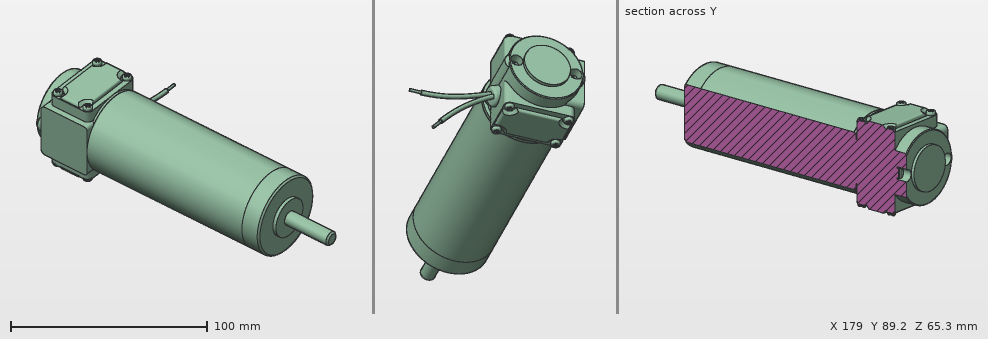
import cadquery as cq
import math


OVERALL_LENGTH = 179.0
SHAFT_LENGTH = 28.0
SHAFT_DIA = 8.0
SHAFT_CHAMFER = 1.0
PILOT_DIA = 22.0
PILOT_LENGTH = 2.0
GEAR_HEAD_DIA = 45.0
GEAR_HEAD_LENGTH = 11.0
GEAR_HEAD_CHAMFER = 1.0
BODY_DIA = 44.99
BODY_REAR = 36.8
FLANGE_DIA = 44.6
FLANGE_REAR = 35.3

pilot_front = OVERALL_LENGTH - SHAFT_LENGTH
gear_front = pilot_front - PILOT_LENGTH
gear_rear = gear_front - GEAR_HEAD_LENGTH

HOUSING_LENGTH = 25.5
HOUSING_WIDTH = 38.0
HOUSING_HEIGHT = 44.0
HOUSING_FILLET = 3.0
HOUSING_MID_X = 22.25

housing_rear = HOUSING_MID_X - HOUSING_LENGTH / 2

COVER_DIA = 40.2
COVER_REAR = 1.8
COVER_CHAMFER = 0.5
CAP_DIA = 25.0

BOSS_DIA = 11.0
BOSS_OFFSET = 16.25
BOLT_OFFSET = 16.0
BOSS_CHAMFER_LENGTH = 2.0
BOSS_CHAMFER_WIDTH = 1.7
BOLT_RECESS_DIA = 6.5
BOLT_RECESS_DEPTH = 6.5
BOLT_HEAD_DIA = 5.5
BOLT_HEAD_HEIGHT = 2.0
BOLT_SLOT_WIDTH = 1.0
BOLT_SLOT_DEPTH = 0.8

PLATE_REAR = 6.6
PLATE_HEIGHT = 31.0
PLATE_REAR_FILLET = 3.0
PLATE_FRONT_FILLET = 2.0
PLATE_INNER_Y = -10.0

LID_HEIGHT = 2.0
LID_LENGTH = 19.4
LID_WIDTH = 37.0
LID_SIDE_FILLET = 1.1
LID_END_FILLET = 1.9
LID_SCREW_DIA = 5.0
LID_SCREW_FILLET = 1.2
CROSS_LENGTH = 2.7
CROSS_WIDTH = 0.9
CROSS_DEPTH = 1.2
POCKET_DIA = 6.5
POCKET_WALL_ANGLE = 42.0

lid_base = HOUSING_HEIGHT / 2
lid_top = lid_base + LID_HEIGHT
lid_screw_x = HOUSING_LENGTH / 2 - HOUSING_FILLET
lid_screw_y = HOUSING_WIDTH / 2 - HOUSING_FILLET

GROMMET_X = 23.0
GROMMET_DIA = 11.0
GROMMET_ANGLE = 23.0
GROMMET_BASE_RADIUS = 15.0
GROMMET_TOP_RADIUS = 24.6
GROMMET_FILLET = 1.4
WIRE_DIA = 2.5
WIRE_CORE_DIA = 1.5

UPPER_WIRE_START = (21.8, 20.0, -7.6)
UPPER_WIRE_END = (22.1, 60.6, -18.3)
UPPER_WIRE_START_SLOPE = 22.0
UPPER_WIRE_END_SLOPE = 0.0
UPPER_CORE_LENGTH = 6.13

LOWER_WIRE_START = (20.8, 20.0, -9.9)
LOWER_WIRE_END = (20.3, 50.6, -35.95)
LOWER_WIRE_START_SLOPE = 28.0
LOWER_WIRE_END_SLOPE = 51.0
LOWER_CORE_LENGTH = 6.33


def x_cylinder(diameter, start, end, y=0.0):
    """Cylinder along X from start to end, its axis at the given Y and Z = 0."""
    return cq.Workplane("YZ", origin=(start, y, 0)).circle(diameter / 2).extrude(end - start)


def make_drive_train():
    """Motor body, gear head, pilot and output shaft."""
    gear_head = x_cylinder(GEAR_HEAD_DIA, gear_rear, gear_front).faces(">X").chamfer(GEAR_HEAD_CHAMFER)
    shaft = x_cylinder(SHAFT_DIA, gear_rear, OVERALL_LENGTH).faces(">X").chamfer(SHAFT_CHAMFER)
    return (
        x_cylinder(FLANGE_DIA, FLANGE_REAR, BODY_REAR)
        .union(x_cylinder(BODY_DIA, BODY_REAR, gear_rear))
        .union(gear_head)
        .union(x_cylinder(PILOT_DIA, gear_front, pilot_front))
        .union(shaft)
    )


def make_housing():
    """Brush housing block with rounded vertical edges, carried on to the motor flange."""
    block = (
        cq.Workplane("XY")
        .box(HOUSING_LENGTH, HOUSING_WIDTH, HOUSING_HEIGHT)
        .edges("|Z")
        .fillet(HOUSING_FILLET)
        .translate((HOUSING_MID_X, 0, 0))
    )
    return block.union(x_cylinder(COVER_DIA, housing_rear, FLANGE_REAR))


def make_rear_cover():
    """Round rear cover with the smaller end cap on it."""
    cover = x_cylinder(COVER_DIA, COVER_REAR, housing_rear).faces("<X").chamfer(COVER_CHAMFER)
    return cover.union(x_cylinder(CAP_DIA, 0, COVER_REAR))


def make_boss(y):
    """Through-bolt boss along the housing, tapered at its rear end."""
    return (
        x_cylinder(BOSS_DIA, COVER_REAR, FLANGE_REAR, y)
        .faces("<X")
        .chamfer(BOSS_CHAMFER_LENGTH, BOSS_CHAMFER_WIDTH)
    )


def make_bolt_head(y):
    """Slotted bolt head standing on the floor of its recess."""
    floor = COVER_REAR + BOLT_RECESS_DEPTH
    head_rear = floor - BOLT_HEAD_HEIGHT
    slot = cq.Workplane("XY").box(2 * BOLT_SLOT_DEPTH, BOLT_SLOT_WIDTH, BOLT_HEAD_DIA).translate((head_rear, y, 0))
    return x_cylinder(BOLT_HEAD_DIA, head_rear, floor, y).cut(slot)


def make_side_plate():
    """Thick rounded plate on the -Y side, flush with the motor body."""
    length = BODY_REAR - PLATE_REAR
    outer_y = -BODY_DIA / 2
    depth = PLATE_INNER_Y - outer_y
    return (
        cq.Workplane("XY")
        .box(length, depth, PLATE_HEIGHT)
        .edges("|Y and <X")
        .fillet(PLATE_REAR_FILLET)
        .edges("|Y and >X")
        .fillet(PLATE_FRONT_FILLET)
        .translate((PLATE_REAR + length / 2, outer_y + depth / 2, 0))
    )


def make_lid_screw(x, y):
    """Screw head with a cross recess, standing beside the lid and level with its top."""
    head = (
        cq.Workplane("XY", origin=(x, y, lid_base))
        .circle(LID_SCREW_DIA / 2)
        .extrude(LID_HEIGHT)
        .faces(">Z")
        .edges()
        .fillet(LID_SCREW_FILLET)
    )
    recess_plane = cq.Workplane("XY", origin=(x, y, lid_top))
    for size_x, size_y in [(CROSS_LENGTH, CROSS_WIDTH), (CROSS_WIDTH, CROSS_LENGTH)]:
        head = head.cut(recess_plane.rect(size_x, size_y).extrude(-CROSS_DEPTH))
    return head


def make_screw_pocket(x, y):
    """Flared slot that clears one lid screw and runs out over the lid end."""
    slot_length = 2 * POCKET_DIA
    run_out = math.copysign((slot_length - POCKET_DIA) / 2, y)
    return (
        cq.Workplane("XY", origin=(x, y + run_out, lid_base))
        .slot2D(slot_length, POCKET_DIA, 90)
        .extrude(LID_HEIGHT, taper=-POCKET_WALL_ANGLE)
    )


def make_lid():
    """Raised top lid with rounded upper edges, pocketed for its four screws."""
    lid = (
        cq.Workplane("XY", origin=(0, 0, lid_base))
        .rect(LID_LENGTH, LID_WIDTH)
        .extrude(LID_HEIGHT)
        .edges("|X and >Z")
        .fillet(LID_END_FILLET)
        .edges("|Y and >Z")
        .fillet(LID_SIDE_FILLET)
    )
    corners = [(x, y) for x in (-lid_screw_x, lid_screw_x) for y in (-lid_screw_y, lid_screw_y)]
    for x, y in corners:
        lid = lid.cut(make_screw_pocket(x, y))
    for x, y in corners:
        lid = lid.union(make_lid_screw(x, y))
    return lid.translate((HOUSING_MID_X, 0, 0))


def downward_direction(slope):
    """Unit vector along +Y that falls by the given slope in degrees."""
    angle = math.radians(slope)
    return cq.Vector(0, math.cos(angle), -math.sin(angle))


def make_grommet():
    """Round cable grommet, square to a radius of the motor below the +Y axis."""
    outward = downward_direction(GROMMET_ANGLE)
    base = cq.Vector(GROMMET_X, 0, 0) + outward * GROMMET_BASE_RADIUS
    return (
        cq.Workplane(cq.Plane(origin=base, xDir=(1, 0, 0), normal=outward))
        .circle(GROMMET_DIA / 2)
        .extrude(GROMMET_TOP_RADIUS - GROMMET_BASE_RADIUS)
        .faces(cq.selectors.DirectionMinMaxSelector(outward, True))
        .edges()
        .fillet(GROMMET_FILLET)
    )


def make_wire(start, end, start_slope, end_slope, core_length):
    """Insulated lead on a smooth curve with its bare core straight at the end."""
    first = downward_direction(start_slope)
    last = downward_direction(end_slope)
    curve = cq.Edge.makeSpline([cq.Vector(*start), cq.Vector(*end)], tangents=[first, last])
    insulation = (
        cq.Workplane(cq.Plane(origin=start, xDir=(1, 0, 0), normal=first))
        .circle(WIRE_DIA / 2)
        .sweep(cq.Workplane("XY").newObject([cq.Wire.assembleEdges([curve])]))
    )
    core = (
        cq.Workplane(cq.Plane(origin=end, xDir=(1, 0, 0), normal=last))
        .circle(WIRE_CORE_DIA / 2)
        .extrude(core_length)
    )
    return insulation.union(core)


result = make_drive_train().union(make_housing()).union(make_rear_cover()).union(make_side_plate())

for side in (-1, 1):
    bolt_y = side * BOLT_OFFSET
    recess = x_cylinder(BOLT_RECESS_DIA, COVER_REAR, COVER_REAR + BOLT_RECESS_DEPTH, bolt_y)
    result = result.union(make_boss(side * BOSS_OFFSET)).cut(recess).union(make_bolt_head(bolt_y))

top_lid = make_lid()
result = result.union(top_lid).union(top_lid.mirror("XY"))

upper_wire = make_wire(
    UPPER_WIRE_START, UPPER_WIRE_END, UPPER_WIRE_START_SLOPE, UPPER_WIRE_END_SLOPE, UPPER_CORE_LENGTH
)
lower_wire = make_wire(
    LOWER_WIRE_START, LOWER_WIRE_END, LOWER_WIRE_START_SLOPE, LOWER_WIRE_END_SLOPE, LOWER_CORE_LENGTH
)
result = result.union(make_grommet()).union(upper_wire).union(lower_wire)